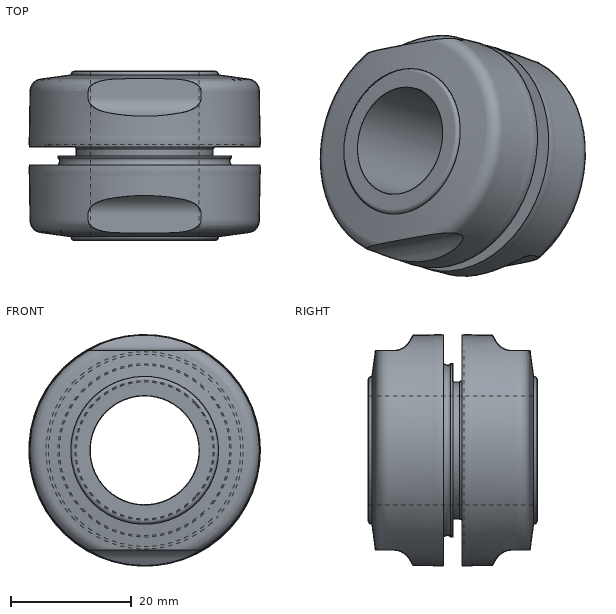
import cadquery as cq
import math

outer_radius = 19.15
half_length = 14.0
bore_radius = 9.0

hub_radius = 12.23
hub_rounding = 0.6
hub_base_y = 13.38

ring_inner_y = 1.5
band_outer_y = 3.35
band_edge_radius = 19.1
wall_end_y = 10.7
wall_end_radius = 18.97
shoulder_radius = 17.3
shoulder_y = 12.7

neck_radius = 11.35
neck_flare_y = 1.1
neck_flare_radius = 11.55
disc_radius = 14.35
disc_rim_y = -0.35
groove_radius = 14.1
groove_middle_radius = 14.15
groove_middle_y = -0.6
groove_floor_y = -0.85

face_groove_outer_radius = 16.33
face_groove_width = 0.42
face_groove_depth = 0.4

flat_height = 16.52
flat_end_y = 9.75
ramp_radius = 3.0
ramp_angle = math.radians(60)
cut_margin = 1.9


def make_ring():
    """Turned ring with its hub on the +Y side."""
    hub_rim_radius = hub_radius - hub_rounding
    return (
        cq.Workplane("XY")
        .moveTo(bore_radius, ring_inner_y)
        .lineTo(band_edge_radius, ring_inner_y)
        .threePointArc(
            (outer_radius, (ring_inner_y + band_outer_y) / 2),
            (band_edge_radius, band_outer_y),
        )
        .lineTo(wall_end_radius, wall_end_y)
        .tangentArcPoint((shoulder_radius, shoulder_y), relative=False)
        .lineTo(hub_radius, hub_base_y)
        .threePointArc(
            (
                hub_rim_radius + hub_rounding * math.sqrt(0.5),
                hub_base_y + hub_rounding * math.sqrt(0.5),
            ),
            (hub_rim_radius, half_length),
        )
        .lineTo(bore_radius, half_length)
        .close()
        .revolve(360, (0, 0, 0), (0, 1, 0))
    )


def make_center():
    """Flared neck and grooved disc joining the two rings."""
    return (
        cq.Workplane("XY")
        .moveTo(bore_radius, ring_inner_y)
        .lineTo(neck_flare_radius, ring_inner_y)
        .lineTo(neck_radius, neck_flare_y)
        .lineTo(neck_radius, 0)
        .lineTo(disc_radius, 0)
        .lineTo(disc_radius, disc_rim_y)
        .threePointArc(
            (groove_middle_radius, groove_middle_y),
            (groove_radius, groove_floor_y),
        )
        .tangentArcPoint((disc_radius, -ring_inner_y), relative=False)
        .lineTo(bore_radius, -ring_inner_y)
        .close()
        .revolve(360, (0, 0, 0), (0, 1, 0))
    )


def make_flat_cutter():
    """Material removed above the wrench flat on the +Y, +Z side."""
    def ramp_point(angle):
        return (
            flat_end_y - ramp_radius * math.sin(angle),
            flat_height + ramp_radius * (1 - math.cos(angle)),
        )

    ramp_end = ramp_point(ramp_angle)
    top = outer_radius + cut_margin
    runout_y = ramp_end[0] - (top - ramp_end[1]) / math.tan(ramp_angle)
    outside_y = half_length + cut_margin
    return (
        cq.Workplane("YZ")
        .moveTo(outside_y, flat_height)
        .lineTo(flat_end_y, flat_height)
        .threePointArc(ramp_point(ramp_angle / 2), ramp_end)
        .lineTo(runout_y, top)
        .lineTo(outside_y, top)
        .close()
        .extrude(outer_radius, both=True)
    )


def make_face_groove():
    """Material removed by the groove facing the gap."""
    return (
        cq.Workplane("XZ", origin=(0, ring_inner_y, 0))
        .circle(face_groove_outer_radius)
        .circle(face_groove_outer_radius - face_groove_width)
        .extrude(-face_groove_depth)
    )


cutter = make_flat_cutter()
ring = make_ring().cut(cutter).cut(cutter.mirror("XY"))
grooved_ring = ring.cut(make_face_groove())
result = make_center().union(grooved_ring).union(ring.mirror("XZ"))